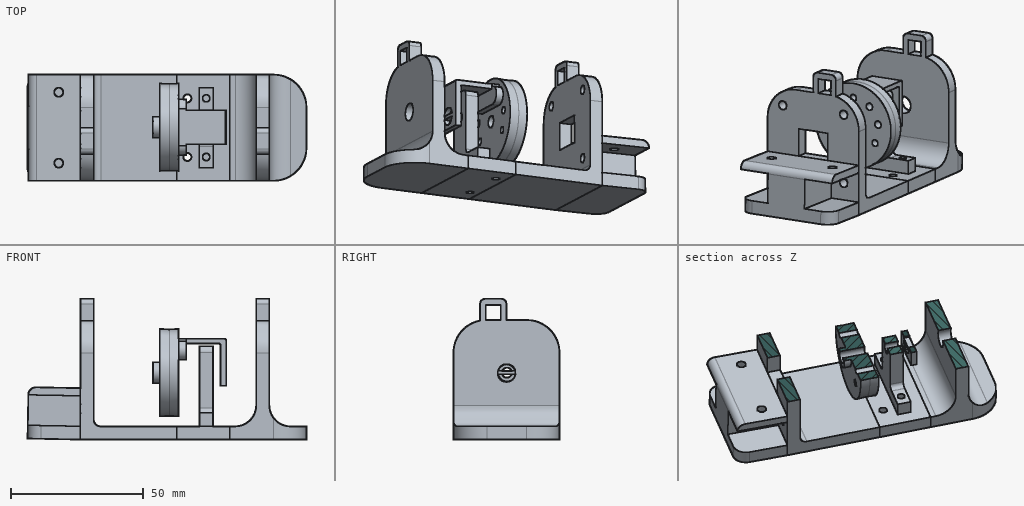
import cadquery as cq
import math

length = 105.1
width = 40.0
base_thick = 5.0
screw_dia = 3.4
screw_offset = 13.3

left_wall_start = 20.0
wall_thick = 5.0
middle_start = 56.2
right_start = 76.2
right_wall_start = 86.1
wheel_start = 49.8

wall_top = 45.1
wall_corner_radius = 12.4
loop_top = 53.1
loop_width = 10.0
loop_corner_radius = 2.0
loop_hole_size = 5.6

bracket_tilt = 1.1
shelf_top = 19.4
shelf_thick = 2.9
column_width = 16.1
bracket_corner_radius = 4.9
shelf_hole_x = 11.5

left_fillet = 2.5
window_width = 12.6
window_top = 30.1
upper_screw_height = 38.2
lower_screw_height = 11.7

slide_hole_dia = 2.9
slide_hole_x = 60.2
slide_hole_offset = 11.0

right_fillet = 7.9
foot_corner_radius = 12.5
cable_hole_dia = 6.6
cable_hole_height = 25.0

wheel_y = 0.16
wheel_height = 25.2
wheel_dia = 33.0
wheel_groove_dia = 32.7
wheel_thick = 7.1
hub_dia = 8.0
hub_length = 2.6
shaft_hole_dia = 4.5
crank_circle_radius = 10.9
crank_hole_count = 7
crank_first_angle = -30.0
crank_angle_step = 40.0
small_crank_dia = 2.5
large_crank_dia = 2.7

root_depth = 2.8
root_lobe_dia = 7.0
root_lobe_spacing = 13.9
root_lobe_height = 33.5
flag_top = 38.0
flag_width = 12.9
flag_top_thick = 1.9
flag_leg_thick = 2.3
flag_leg_end = 74.9
flag_leg_bottom = 20.3
flag_outer_chamfer = 0.5
flag_inner_radius = 0.5
flag_hole_dia = 6.6
flag_bar_height = 1.4

post_start = 64.7
post_thick = 5.1
post_width = 10.3
post_top = 35.2
post_top_radius = 2.2
post_foot_width = 30.2
post_foot_height = 5.1
post_root_fillet = 1.8
post_screw_dia = 2.7
post_shaft_hole_dia = 3.7


def box(x_start, x_end, y_start, y_end, z_start, z_end):
    """Axis-aligned block between the given limits."""
    return cq.Workplane("XY").box(
        x_end - x_start, y_end - y_start, z_end - z_start, centered=False
    ).translate((x_start, y_start, z_start))


def full_width_box(x_start, x_end, z_start, z_end):
    """Block across the whole width of the part."""
    return box(x_start, x_end, -width / 2, width / 2, z_start, z_end)


def rod_x(dia, x_start, depth, y, z):
    """Cylinder along X."""
    return cq.Workplane("YZ", origin=(x_start, y, z)).circle(dia / 2).extrude(depth)


def rod_z(dia, x, y, z_start, depth):
    """Cylinder along Z."""
    return cq.Workplane("XY", origin=(x, y, z_start)).circle(dia / 2).extrude(depth)


def make_wall(x_start):
    """Upright wall with rounded shoulders and the open loop on its top edge."""
    x_end = x_start + wall_thick
    wall = full_width_box(x_start, x_end, 0, wall_top)
    wall = wall.edges("|X and >Z").fillet(wall_corner_radius)
    loop = box(x_start, x_end, -loop_width, 0, wall_top - wall_corner_radius, loop_top)
    loop = loop.edges("|X and >Z").fillet(loop_corner_radius)
    hole_start = -(loop_width + loop_hole_size) / 2
    hole = box(x_start, x_end, hole_start, hole_start + loop_hole_size, wall_top, wall_top + loop_hole_size)
    return wall.union(loop).cut(hole)


def make_end_bracket():
    """Base foot, column and shelf, tilted about the lower edge of the left wall."""
    overlap = 1.0
    joint_end = left_wall_start + overlap
    foot = full_width_box(0, joint_end, 0, base_thick)
    foot = foot.edges("|Z and <X").fillet(bracket_corner_radius)
    column = box(0, joint_end, -column_width / 2, column_width / 2, 0, shelf_top - shelf_thick)
    shelf = full_width_box(0, joint_end, shelf_top - shelf_thick, shelf_top)
    nose_corner = full_width_box(0, shelf_thick, shelf_top - shelf_thick, shelf_top)
    nose = cq.Workplane("XZ", origin=(0, width / 2, 0)).center(shelf_thick, shelf_top - shelf_thick)
    nose = nose.circle(shelf_thick).extrude(width)
    shelf = shelf.cut(nose_corner.cut(nose))
    bracket = foot.union(column).union(shelf)
    for y in (-screw_offset, screw_offset):
        bracket = bracket.cut(rod_z(screw_dia, shelf_hole_x, y, shelf_top - shelf_thick, shelf_thick))
    pivot = (left_wall_start, 0, 0)
    bracket = bracket.rotate(pivot, (left_wall_start, 1, 0), bracket_tilt)
    return bracket.intersect(full_width_box(-overlap, left_wall_start, -overlap, loop_top))


def make_left_frame():
    """Wall with window and screw holes, on its stretch of base."""
    wall_end = left_wall_start + wall_thick
    base = full_width_box(left_wall_start, middle_start, 0, base_thick)
    frame = base.union(make_wall(left_wall_start))
    frame = frame.union(make_wall_fillet(wall_end, 1, left_fillet))
    half_window = window_width / 2
    frame = frame.cut(box(left_wall_start, wall_end, -half_window, half_window, shelf_top, window_top))
    for z in (upper_screw_height, lower_screw_height):
        for y in (-screw_offset, screw_offset):
            frame = frame.cut(rod_x(screw_dia, left_wall_start, wall_thick, y, z))
    return frame


def make_wall_fillet(wall_face, side, radius):
    """Concave fillet between a wall face and the base; side is +1 or -1 along X."""
    return (
        cq.Workplane("XZ", origin=(0, width / 2, 0))
        .moveTo(wall_face, base_thick)
        .lineTo(wall_face, base_thick + radius)
        .radiusArc((wall_face + side * radius, base_thick), -side * radius)
        .close()
        .extrude(width)
    )


def make_middle_plate():
    """Flat base section with two holes for fixing the post."""
    plate = full_width_box(middle_start, right_start, 0, base_thick)
    for y in (-slide_hole_offset, slide_hole_offset):
        plate = plate.cut(rod_z(slide_hole_dia, slide_hole_x, y, 0, base_thick))
    return plate


def make_right_frame():
    """Wall with the cable hole, filleted to the base on both faces."""
    wall_end = right_wall_start + wall_thick
    frame = full_width_box(right_start, length, 0, base_thick)
    frame = frame.union(make_wall(right_wall_start))
    frame = frame.union(make_wall_fillet(right_wall_start, -1, right_fillet))
    frame = frame.union(make_wall_fillet(wall_end, 1, right_fillet))
    footprint = full_width_box(right_start, length, 0, loop_top)
    footprint = footprint.edges("|Z and >X").fillet(foot_corner_radius)
    frame = frame.intersect(footprint)
    return frame.cut(rod_x(cable_hole_dia, right_wall_start, wall_thick, 0, cable_hole_height))


def make_wheel():
    """Wheel with a grooved rim, a hub and an arc of crank holes."""
    rim_radius = wheel_dia / 2
    wheel_end = wheel_start + wheel_thick
    wheel = (
        cq.Workplane("XY")
        .moveTo(wheel_start, 0)
        .lineTo(wheel_start, rim_radius)
        .lineTo(wheel_start + wheel_thick / 2, wheel_groove_dia / 2)
        .lineTo(wheel_end, rim_radius)
        .lineTo(wheel_end, 0)
        .close()
        .revolve(360, (0, 0, 0), (1, 0, 0))
        .translate((0, wheel_y, wheel_height))
    )
    hub_start = wheel_start - hub_length
    wheel = wheel.union(rod_x(hub_dia, hub_start, hub_length, wheel_y, wheel_height))
    wheel = wheel.cut(rod_x(shaft_hole_dia, hub_start, hub_length + wheel_thick, wheel_y, wheel_height))
    for i in range(crank_hole_count):
        angle = math.radians(crank_first_angle + i * crank_angle_step)
        y = wheel_y + crank_circle_radius * math.cos(angle)
        z = wheel_height + crank_circle_radius * math.sin(angle)
        dia = small_crank_dia if i % 3 == 0 else large_crank_dia
        wheel = wheel.cut(rod_x(dia, wheel_start, wheel_thick, y, z))
    return wheel


def make_flag():
    """Bent flag that hooks over the post, with the root that seats on the wheel."""
    root_start = wheel_start + wheel_thick
    root_end = root_start + root_depth

    half_spacing = root_lobe_spacing / 2
    lobe_bottom = root_lobe_height - root_lobe_dia / 2
    root = box(root_start, root_end, wheel_y - half_spacing, wheel_y + half_spacing, lobe_bottom, flag_top)
    for y in (wheel_y - half_spacing, wheel_y + half_spacing):
        root = root.union(rod_x(root_lobe_dia, root_start, root_depth, y, root_lobe_height))

    half_flag = flag_width / 2
    leg_start = flag_leg_end - flag_leg_thick
    arm_bottom = flag_top - flag_top_thick
    flag = (
        cq.Workplane("XZ", origin=(0, wheel_y + half_flag, 0))
        .moveTo(root_start, flag_top)
        .lineTo(flag_leg_end, flag_top)
        .lineTo(flag_leg_end, flag_leg_bottom)
        .lineTo(leg_start, flag_leg_bottom)
        .lineTo(leg_start, arm_bottom)
        .lineTo(root_start, arm_bottom)
        .close()
        .extrude(flag_width)
    )
    flag = flag.edges("|Y and >X and >Z").chamfer(flag_outer_chamfer)
    flag = flag.edges(cq.NearestToPointSelector((leg_start, wheel_y, arm_bottom))).fillet(flag_inner_radius)

    bar_bottom = wheel_height - flag_bar_height / 2
    bar = box(leg_start, flag_leg_end, -flag_width, flag_width, bar_bottom, bar_bottom + flag_bar_height)
    opening = rod_x(flag_hole_dia, leg_start, flag_leg_thick, wheel_y, wheel_height).cut(bar)
    return root.union(flag.cut(opening))


def make_post():
    """Upright plate on a screwed-down foot, open along the wheel axis."""
    post_end = post_start + post_thick
    half_post = post_width / 2
    half_foot = post_foot_width / 2
    foot_top = base_thick + post_foot_height
    post = (
        cq.Workplane("YZ", origin=(post_start, 0, 0))
        .moveTo(-half_foot, base_thick)
        .lineTo(half_foot, base_thick)
        .lineTo(half_foot, foot_top)
        .lineTo(half_post + post_root_fillet, foot_top)
        .radiusArc((half_post, foot_top + post_root_fillet), post_root_fillet)
        .lineTo(half_post, post_top)
        .lineTo(-half_post, post_top)
        .lineTo(-half_post, foot_top + post_root_fillet)
        .radiusArc((-half_post - post_root_fillet, foot_top), post_root_fillet)
        .lineTo(-half_foot, foot_top)
        .close()
        .extrude(post_thick)
    )
    post = post.edges("|X and >Z").fillet(post_top_radius)
    post = post.cut(rod_x(post_shaft_hole_dia, post_start, post_thick, wheel_y, wheel_height))
    post_middle = (post_start + post_end) / 2
    for y in (-slide_hole_offset, slide_hole_offset):
        post = post.cut(rod_z(post_screw_dia, post_middle, y, base_thick, post_foot_height))
    return post


end_bracket = make_end_bracket()
left_frame = make_left_frame()
middle_plate = make_middle_plate()
right_frame = make_right_frame()
wheel = make_wheel()
flag = make_flag()
post = make_post()

result = cq.Compound.makeCompound([
    end_bracket.val(),
    left_frame.val(),
    middle_plate.val(),
    right_frame.val(),
    wheel.val(),
    flag.val(),
    post.val(),
])